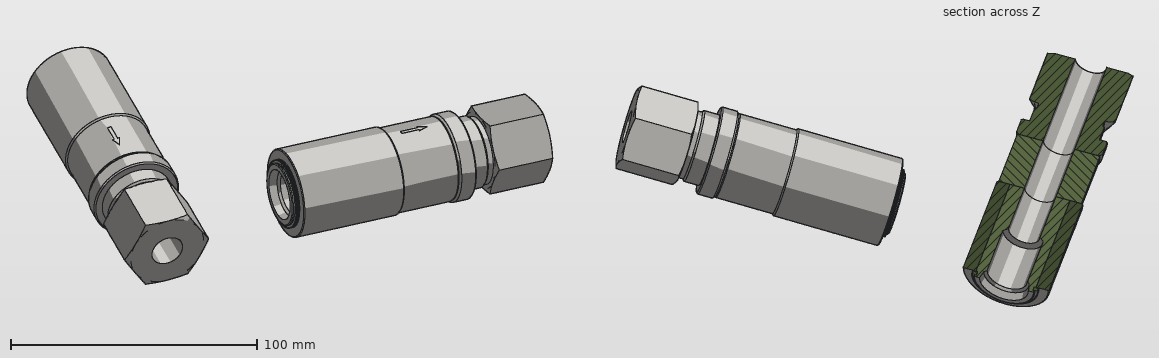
import cadquery as cq
import math

overall_length = 114.3
sleeve_diameter = 36.83
bore_diameter = 13.3

ring_start = 1.05
sleeve_start = 2.65
barrel_start = 47.65
collar_start = 72.1
hex_start = 88.9

socket_diameter = 25.98
socket_front_chamfer = 0.4
ring_groove_diameter = 24.43
mouth_diameter = 20.8
shoulder_diameter = 19.3
shoulder_depth = 3.3
seat_diameter = 17.1
seat_depth = 4.3
seat_bore_end = 25.0
seat_bore_cone_angle = 52.0

ring_diameter = 28.4
ring_ridge_count = 4
ring_groove_depth = 0.3
ring_end_gap = 1.4
ring_gap_centre = -0.45
ring_gap_shift = 0.7

sleeve_front_chamfer = 0.4

barrel_diameter = 35.5
barrel_end_chamfer = 0.5

arrow_tail = 53.4
arrow_head_base = 61.0
arrow_tip = 65.0
arrow_centre_y = -1.85
arrow_shaft_width = 1.5
arrow_head_width = 2.9
arrow_depth = 0.1

collar_end = 79.7
collar_front_chamfer = 0.85
collar_rear_chamfer = 0.6
shank_diameter = 30.0
shank_end = 85.85
shank_chamfer_length = 0.8
neck_diameter = 28.3
hex_across_flats = 31.75
hex_across_corners = hex_across_flats / math.cos(math.pi / 6)
hex_chamfer_face_diameter = hex_across_flats
hex_chamfer_length = 0.8


def revolve_about_x(points):
    """Turn a closed (x, radius) outline around the X axis."""
    return cq.Workplane("XY").polyline(points).close().revolve(360, (0, 0, 0), (1, 0, 0))


def cylinder_x(diameter, start, end):
    return cq.Workplane("YZ", origin=(start, 0, 0)).circle(diameter / 2).extrude(end - start)


def make_socket_tube():
    outer = socket_diameter / 2
    groove = ring_groove_diameter / 2
    cone_length = (seat_diameter - bore_diameter) / 2 / math.tan(math.radians(seat_bore_cone_angle))
    return revolve_about_x([
        (0, mouth_diameter / 2),
        (0, outer - socket_front_chamfer),
        (socket_front_chamfer, outer),
        (ring_start, outer),
        (ring_start, groove),
        (sleeve_start, groove),
        (sleeve_start, outer),
        (barrel_start, outer),
        (barrel_start, bore_diameter / 2),
        (seat_bore_end + cone_length, bore_diameter / 2),
        (seat_bore_end, seat_diameter / 2),
        (seat_depth, seat_diameter / 2),
        (shoulder_depth, shoulder_diameter / 2),
    ])


def ring_gap(start, end, centre_y):
    """Block that opens the ring at the top, over part of its thickness."""
    height = ring_diameter / 2
    return cq.Workplane("XY").box(end - start, ring_end_gap, height, centered=(False, True, False)).translate(
        (start, centre_y, 0)
    )


def make_retaining_ring():
    crest = ring_diameter / 2
    ridge_width = (sleeve_start - ring_start) / ring_ridge_count
    outline = [(ring_start, ring_groove_diameter / 2), (ring_start, crest)]
    for i in range(1, ring_ridge_count):
        groove_x = ring_start + i * ridge_width
        outline += [
            (groove_x - ridge_width / 4, crest),
            (groove_x, crest - ring_groove_depth),
            (groove_x + ridge_width / 4, crest),
        ]
    outline += [(sleeve_start, crest), (sleeve_start, ring_groove_diameter / 2)]
    ring = revolve_about_x(outline)

    middle = (ring_start + sleeve_start) / 2
    ring = ring.cut(ring_gap(ring_start, middle, ring_gap_centre))
    return ring.cut(ring_gap(middle, sleeve_start, ring_gap_centre - ring_gap_shift))


def make_sleeve():
    outer = sleeve_diameter / 2
    inner = socket_diameter / 2
    rear_chamfer = (sleeve_diameter - barrel_diameter) / 2
    return revolve_about_x([
        (sleeve_start, inner),
        (sleeve_start, outer - sleeve_front_chamfer),
        (sleeve_start + sleeve_front_chamfer, outer),
        (barrel_start - rear_chamfer, outer),
        (barrel_start, outer - rear_chamfer),
        (barrel_start, inner),
    ])


def make_flow_arrow():
    """Tool body for the arrow recess: an arrow prism outside the recess floor."""
    shaft = arrow_shaft_width / 2
    head = arrow_head_width / 2
    half_outline = [(arrow_tail, shaft), (arrow_head_base, shaft), (arrow_head_base, head)]
    outline = half_outline + [(arrow_tip, 0)] + [(x, -y) for x, y in reversed(half_outline)]
    prism = (
        cq.Workplane("XY")
        .polyline([(x, arrow_centre_y + y) for x, y in outline])
        .close()
        .extrude(barrel_diameter)
    )
    return prism.cut(cylinder_x(barrel_diameter - 2 * arrow_depth, barrel_start, collar_start))


def make_barrel():
    outer = barrel_diameter / 2
    barrel = revolve_about_x([
        (barrel_start, bore_diameter / 2),
        (barrel_start, outer),
        (collar_start - barrel_end_chamfer, outer),
        (collar_start, outer - barrel_end_chamfer),
        (collar_start, bore_diameter / 2),
    ])
    return barrel.cut(make_flow_arrow())


def make_hexagon():
    """Hexagon with both ends chamfered round."""
    prism = (
        cq.Workplane("YZ", origin=(hex_start, 0, 0))
        .polygon(6, hex_across_corners)
        .extrude(overall_length - hex_start)
    )
    face = hex_chamfer_face_diameter / 2
    corner = hex_across_corners / 2
    chamfer_envelope = revolve_about_x([
        (hex_start, 0),
        (hex_start, face),
        (hex_start + hex_chamfer_length, corner),
        (overall_length - hex_chamfer_length, corner),
        (overall_length, face),
        (overall_length, 0),
    ])
    return prism.intersect(chamfer_envelope)


def make_end_fitting():
    collar = sleeve_diameter / 2
    shank = shank_diameter / 2
    neck = neck_diameter / 2
    turned_part = revolve_about_x([
        (collar_start, 0),
        (collar_start, collar - collar_front_chamfer),
        (collar_start + collar_front_chamfer, collar),
        (collar_end - collar_rear_chamfer, collar),
        (collar_end, collar - collar_rear_chamfer),
        (collar_end, shank),
        (shank_end, shank),
        (shank_end + shank_chamfer_length, neck),
        (hex_start, neck),
        (hex_start, 0),
    ])
    bore = cylinder_x(bore_diameter, collar_start, overall_length)
    return turned_part.union(make_hexagon()).cut(bore)


socket_tube = make_socket_tube()
retaining_ring = make_retaining_ring()
sleeve = make_sleeve()
barrel = make_barrel()
end_fitting = make_end_fitting()

result = cq.Compound.makeCompound([
    socket_tube.val(),
    retaining_ring.val(),
    sleeve.val(),
    barrel.val(),
    end_fitting.val(),
])